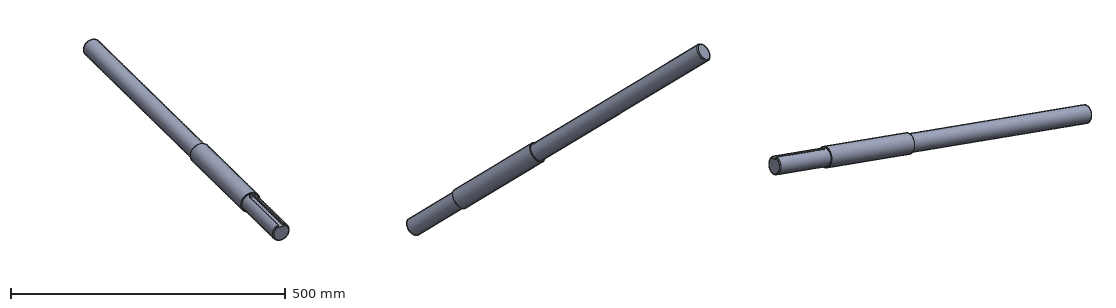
import cadquery as cq

total_length = 737.0
shaft_diameter = 35.0
collar_diameter = 40.0
collar_length = 195.0
drive_end_length = 120.0
end_chamfer = 2.0

keyway_width = 10.0
keyway_depth = 5.0
keyway_collar_gap = 2.0

shaft_start = -total_length / 2
shaft_end = total_length / 2
collar_end = shaft_end - drive_end_length
collar_start = collar_end - collar_length


def cylinder(start, length, diameter):
    """Round bar along +X from the given start position."""
    return cq.Workplane("YZ", origin=(start, 0, 0)).circle(diameter / 2).extrude(length)


def keyway_cutter():
    """Keyway with a round inner end, open at the +X end of the shaft."""
    half_width = keyway_width / 2
    inner_tip = collar_end + keyway_collar_gap
    arc_start = inner_tip + half_width
    floor_height = shaft_diameter / 2 - keyway_depth
    return (
        cq.Workplane("XY", origin=(0, 0, floor_height))
        .moveTo(shaft_end, -half_width)
        .lineTo(arc_start, -half_width)
        .threePointArc((inner_tip, 0), (arc_start, half_width))
        .lineTo(shaft_end, half_width)
        .close()
        .extrude(keyway_depth)
    )


shaft = cylinder(shaft_start, total_length, shaft_diameter).faces("<X or >X").chamfer(end_chamfer)
collar = cylinder(collar_start, collar_length, collar_diameter)
result = shaft.union(collar).cut(keyway_cutter())